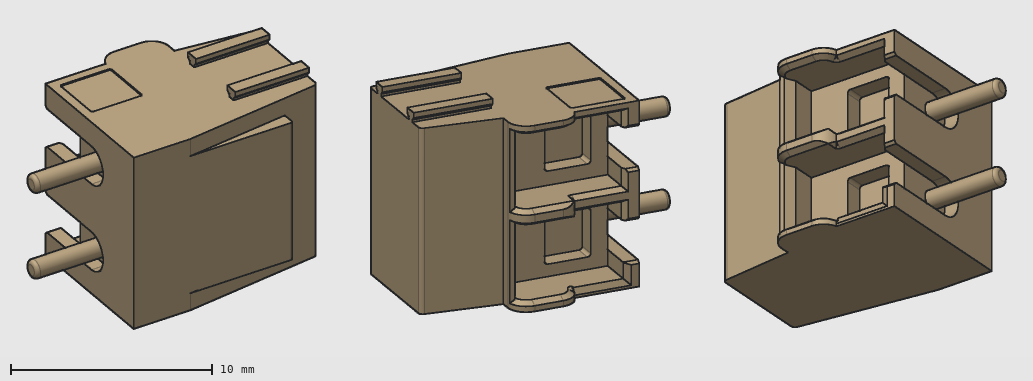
import cadquery as cq
import math


POLES = 2
HEIGHT = 10.0
PITCH = HEIGHT / POLES
WIDTH = 8.25
LENGTH = 11.4
NOSE_START = 7.08
NOSE_LEFT_START = 0.77
NOSE_LEFT_END = 1.28
NOSE_RIGHT_END = 7.23
NOSE_RIGHT_START = 3.31
NOSE_CORNER = 0.24

EAR_REACH = 0.75
EAR_RADIUS = 1.0
EAR_LOW_CENTER = 4.51
EAR_HIGH_CENTER = NOSE_START - EAR_RADIUS
EAR_CENTER_X = EAR_RADIUS - EAR_REACH
EAR_FOOT = EAR_LOW_CENTER - math.sqrt(EAR_RADIUS**2 - EAR_CENTER_X**2)

PANEL_END = 9.33
PANEL_MARGIN = 1.0
PANEL_CORNER = 0.12

END_WALL = 0.52
MIDDLE_WALL = 0.85
POCKET_HEIGHT = (HEIGHT - 2 * END_WALL - MIDDLE_WALL) / POLES
POCKET_FLOOR = 1.95
POCKET_FRONT = 0.82
POCKET_BACK = 6.5
BACK_SLANT_X = 0.63
BACK_SLANT_Y = 6.8
BACK_LIP_X = 0.06
RIM_HEIGHT = 0.21
RIM_DEPTH = 0.35
LEDGE_HEIGHT = 0.37
LEDGE_DEPTH = 0.13

WINDOW_CENTER_Y = 3.01
WINDOW_LENGTH = 2.52
WINDOW_HEIGHT = 2.62
WINDOW_DEPTH = 1.0
WINDOW_CORNER = 0.18

PIN_X = 4.25
PIN_DIAMETER = 1.03
PIN_LENGTH = 3.5
PIN_ROUNDING = 0.22
SLOT_CENTER_X = 4.29
SLOT_WIDTH = 2.2
SLOT_MOUTH_CHAMFER = 0.15

RAIL_CENTERS = (2.41, 6.1)
RAIL_HEAD_WIDTH = 0.75
RAIL_NECK_WIDTH = 0.45
RAIL_NECK_HEIGHT = 0.13
RAIL_SHOULDER_HEIGHT = 0.28
RAIL_HEIGHT = 0.57

RECESS_SIZE = 2.98
RECESS_CENTER = 2.01
RECESS_DEPTH = 0.07
RECESS_CORNER = 0.12

CLEAR = 0.75


def pole_center(pole):
    return (pole + 0.5) * PITCH


def pocket_bottom(pole):
    return END_WALL + pole * (POCKET_HEIGHT + MIDDLE_WALL)


def draw_ear_edge(sketch):
    """Continue a wire around the ear, from its rear end to its foot on the side face."""
    diagonal = EAR_RADIUS * math.sqrt(0.5)
    foot_half_angle = math.acos(EAR_CENTER_X / EAR_RADIUS) / 2
    return (
        sketch.lineTo(EAR_CENTER_X, NOSE_START)
        .threePointArc(
            (EAR_CENTER_X - diagonal, EAR_HIGH_CENTER + diagonal),
            (-EAR_REACH, EAR_HIGH_CENTER),
        )
        .lineTo(-EAR_REACH, EAR_LOW_CENTER)
        .threePointArc(
            (
                EAR_CENTER_X - EAR_RADIUS * math.cos(foot_half_angle),
                EAR_LOW_CENTER - EAR_RADIUS * math.sin(foot_half_angle),
            ),
            (0, EAR_FOOT),
        )
    )


def make_outline_body():
    """Full-height body: tapered nose, straight front part and the ear profile."""
    outline = (
        cq.Workplane("XY")
        .moveTo(0, 0)
        .lineTo(WIDTH, 0)
        .lineTo(WIDTH, NOSE_RIGHT_START)
        .lineTo(NOSE_RIGHT_END, LENGTH)
        .lineTo(NOSE_LEFT_END, LENGTH)
        .lineTo(NOSE_LEFT_START, NOSE_START)
    )
    body = draw_ear_edge(outline).close().extrude(HEIGHT)
    return body.edges("|Z and >Y").fillet(NOSE_CORNER)


def make_pocket(pole):
    """Side-opening pocket with a slanted back; the height includes both sloped rims."""
    return (
        cq.Workplane("XY", origin=(0, 0, pocket_bottom(pole) - RIM_HEIGHT))
        .moveTo(-EAR_REACH - CLEAR, POCKET_FRONT)
        .lineTo(POCKET_FLOOR, POCKET_FRONT)
        .lineTo(POCKET_FLOOR, POCKET_BACK)
        .lineTo(BACK_SLANT_X, POCKET_BACK)
        .lineTo(BACK_LIP_X, BACK_SLANT_Y)
        .lineTo(BACK_LIP_X, NOSE_START + CLEAR)
        .lineTo(-EAR_REACH - CLEAR, NOSE_START + CLEAR)
        .close()
        .extrude(POCKET_HEIGHT + 2 * RIM_HEIGHT)
    )


def make_rim(base_z, rise):
    """Layer of wall whose open edge slopes inward all along the ear and the side face."""
    slope = math.degrees(math.atan2(RIM_DEPTH, RIM_HEIGHT))
    inner_x = POCKET_FLOOR + CLEAR
    outline = (
        cq.Workplane("XY", origin=(0, 0, base_z))
        .moveTo(0, 0)
        .lineTo(inner_x, 0)
        .lineTo(inner_x, NOSE_START)
    )
    return draw_ear_edge(outline).close().extrude(rise, taper=slope)


def make_bottom_ledge():
    """Square edge of the bottom wall in front of its ear."""
    return cq.Workplane("XY").box(POCKET_FLOOR, EAR_FOOT, END_WALL, centered=False)


def make_mouth_funnel(depth, growth, bottom, top, end_y):
    """Funnel at the side face that grows toward the front wall, below and above."""
    funnel = cq.Workplane("YZ")
    for step, spread in ((0, growth), (depth, 0)):
        funnel = (
            funnel.workplane(offset=step)
            .moveTo(POCKET_FRONT - spread, bottom - spread)
            .lineTo(end_y, bottom - spread)
            .lineTo(end_y, top + spread)
            .lineTo(POCKET_FRONT - spread, top + spread)
            .close()
        )
    return funnel.loft(ruled=True)


def make_front_slope(pole):
    """Slope on the front wall, mitred with the sloped rims; beside the ledge it is left out."""
    bottom = pocket_bottom(pole)
    top = bottom + POCKET_HEIGHT
    if pole == 0:
        bottom = pole_center(pole)
    return make_mouth_funnel(RIM_DEPTH, RIM_HEIGHT, bottom, top, POCKET_FRONT + RIM_HEIGHT)


def make_ledge_slope():
    """Steep slope along the bottom ledge, turning up the front wall as far as the pin slot."""
    return make_mouth_funnel(LEDGE_DEPTH, LEDGE_HEIGHT, END_WALL, pole_center(0), EAR_FOOT)


def make_ear_foot(wall, ear_profile):
    """Front curve of the ear between two pockets: flat slopes thicken it to the full wall."""
    middle_z = pocket_bottom(wall) - MIDDLE_WALL / 2
    full = MIDDLE_WALL / 2
    tip = full - RIM_HEIGHT
    side_slopes = (
        cq.Workplane("XZ", origin=(0, EAR_FOOT, middle_z))
        .moveTo(-EAR_REACH, -tip)
        .lineTo(RIM_DEPTH - EAR_REACH, -full)
        .lineTo(RIM_DEPTH, -full)
        .lineTo(RIM_DEPTH, full)
        .lineTo(RIM_DEPTH - EAR_REACH, full)
        .lineTo(-EAR_REACH, tip)
        .close()
        .extrude(EAR_FOOT - EAR_LOW_CENTER)
    )
    foot_slopes = (
        cq.Workplane("YZ", origin=(-EAR_REACH, 0, middle_z))
        .moveTo(EAR_FOOT, -tip)
        .lineTo(EAR_FOOT + RIM_HEIGHT, -full)
        .lineTo(EAR_LOW_CENTER, -full)
        .lineTo(EAR_LOW_CENTER, full)
        .lineTo(EAR_FOOT + RIM_HEIGHT, full)
        .lineTo(EAR_FOOT, tip)
        .close()
        .extrude(EAR_REACH + RIM_DEPTH)
    )
    return side_slopes.intersect(foot_slopes).intersect(ear_profile)


def make_window(pole):
    return (
        cq.Workplane("YZ", origin=(POCKET_FLOOR, 0, 0))
        .center(WINDOW_CENTER_Y, pole_center(pole))
        .rect(WINDOW_LENGTH, WINDOW_HEIGHT)
        .extrude(WINDOW_DEPTH)
        .edges("|X")
        .fillet(WINDOW_CORNER)
    )


def make_pin_slot(pole):
    """Round-ended slot through the front wall, flared where it meets the side face."""
    half = SLOT_WIDTH / 2
    flared = half + SLOT_MOUTH_CHAMFER
    return (
        cq.Workplane("XZ", origin=(0, 0, pole_center(pole)))
        .moveTo(0, flared)
        .lineTo(SLOT_MOUTH_CHAMFER, half)
        .lineTo(SLOT_CENTER_X, half)
        .threePointArc((SLOT_CENTER_X + half, 0), (SLOT_CENTER_X, -half))
        .lineTo(SLOT_MOUTH_CHAMFER, -half)
        .lineTo(0, -flared)
        .close()
        .extrude(-POCKET_FRONT)
    )


def make_pin(pole):
    return (
        cq.Workplane("XZ", origin=(PIN_X, POCKET_FRONT, pole_center(pole)))
        .circle(PIN_DIAMETER / 2)
        .extrude(POCKET_FRONT + PIN_LENGTH)
        .faces("<Y")
        .edges()
        .fillet(PIN_ROUNDING)
    )


def make_rail(center_x):
    """Rail with a narrow neck, sloped shoulders and a wide head."""
    neck = RAIL_NECK_WIDTH / 2
    head = RAIL_HEAD_WIDTH / 2
    return (
        cq.Workplane("XZ", origin=(center_x, NOSE_START, HEIGHT))
        .moveTo(-neck, 0)
        .lineTo(neck, 0)
        .lineTo(neck, RAIL_NECK_HEIGHT)
        .lineTo(head, RAIL_SHOULDER_HEIGHT)
        .lineTo(head, RAIL_HEIGHT)
        .lineTo(-head, RAIL_HEIGHT)
        .lineTo(-head, RAIL_SHOULDER_HEIGHT)
        .lineTo(-neck, RAIL_NECK_HEIGHT)
        .close()
        .extrude(NOSE_START - LENGTH)
    )


def make_panel():
    return (
        cq.Workplane("XY", origin=(0, 0, PANEL_MARGIN))
        .moveTo(NOSE_RIGHT_END, 0)
        .lineTo(WIDTH, 0)
        .lineTo(WIDTH, PANEL_END)
        .lineTo(NOSE_RIGHT_END, PANEL_END)
        .close()
        .extrude(HEIGHT - 2 * PANEL_MARGIN)
        .edges("|Z and >X and >Y")
        .fillet(PANEL_CORNER)
    )


def make_recess():
    return (
        cq.Workplane("XY", origin=(RECESS_CENTER, RECESS_CENTER, HEIGHT))
        .rect(RECESS_SIZE, RECESS_SIZE)
        .extrude(-RECESS_DEPTH)
        .edges("|Z")
        .fillet(RECESS_CORNER)
    )


outline_body = make_outline_body()
body = outline_body
for pole in range(POLES):
    body = body.cut(make_pocket(pole))
for pole in range(POLES):
    rim_bottom = pocket_bottom(pole) - RIM_HEIGHT
    rim_top = pocket_bottom(pole) + POCKET_HEIGHT + RIM_HEIGHT
    body = body.union(make_rim(rim_bottom, RIM_HEIGHT)).union(make_rim(rim_top, -RIM_HEIGHT))
    body = body.cut(make_front_slope(pole))
for wall in range(1, POLES):
    body = body.union(make_ear_foot(wall, outline_body))
body = body.union(make_bottom_ledge()).cut(make_ledge_slope())
body = body.union(make_panel())
for pole in range(POLES):
    body = body.cut(make_window(pole)).cut(make_pin_slot(pole)).union(make_pin(pole))
for center_x in RAIL_CENTERS:
    body = body.union(make_rail(center_x))
result = body.cut(make_recess())